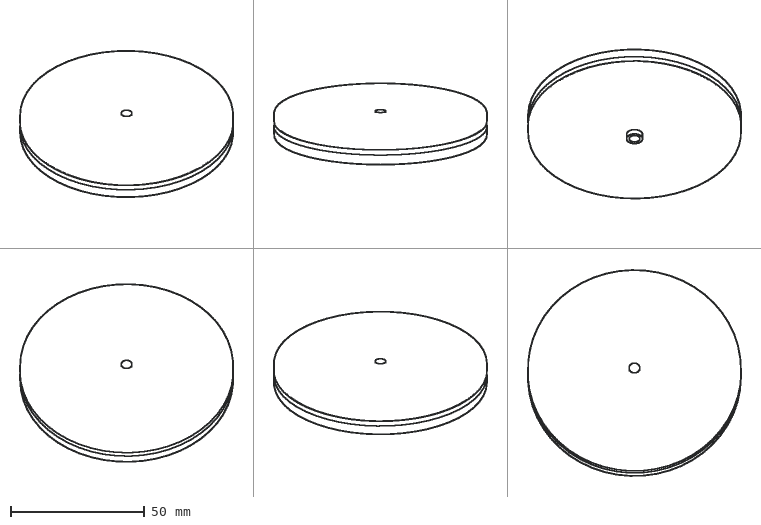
import cadquery as cq

disc_diameter = 80
disc_thickness = 10.0
groove_width = 2.0
hub_diameter = 6.0
hub_height = 2.0
bore_diameter = 4

disc_radius = disc_diameter / 2
groove_radius = groove_width / 2
edge_radius = groove_radius


def make_disc():
    """Flat disc standing on Z = 0 with both rims rounded."""
    disc = cq.Workplane("XY").circle(disc_radius).extrude(disc_thickness)
    return disc.faces("<Z or >Z").edges().fillet(edge_radius)


def make_rim_groove():
    """Ring of round section, centred on the disc's outer wall."""
    return (
        cq.Workplane("XZ")
        .center(disc_radius, disc_thickness / 2)
        .circle(groove_radius)
        .revolve(360, (-disc_radius, 0), (-disc_radius, 1))
    )


def make_hub():
    """Short boss below the disc."""
    return cq.Workplane("XY").circle(hub_diameter / 2).extrude(-hub_height)


def make_bore():
    """Cylinder running through both the hub and the disc."""
    return (
        cq.Workplane("XY")
        .workplane(offset=-hub_height)
        .circle(bore_diameter / 2)
        .extrude(hub_height + disc_thickness)
    )


result = make_disc().cut(make_rim_groove()).union(make_hub()).cut(make_bore())